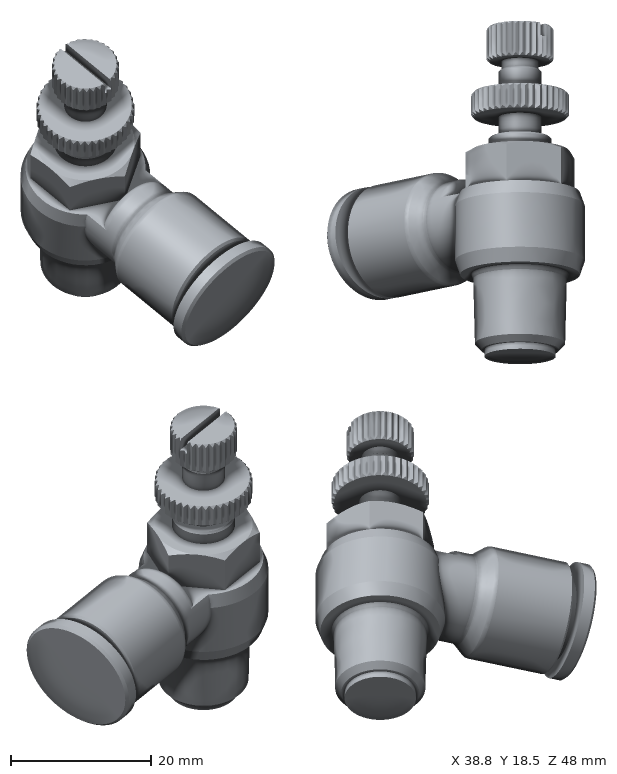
import cadquery as cq
import math


overall_length = 38.8

stub_radius = 5.1
stub_height = 0.95
thread_tip_radius = 6.45
thread_base_radius = 6.65
thread_chamfer_inset = 0.85
thread_start_z = 1.85
neck_start_z = 11.3
neck_top_radius = 6.95

body_diameter = 18.5
body_radius = body_diameter / 2
body_end_radius = 8.55
body_bottom_z = 11.95
body_top_z = 23.85
body_lower_chamfer = 2.0
body_upper_chamfer = 1.9

hex_across_flats = 14.0
hex_top_z = 29.9
hex_chamfer_angle = 30.0
collar_radius = 4.5
collar_top_z = 31.9
collar_chamfer = 0.3

stem_diameter = 6.1
stem_radius = stem_diameter / 2
stem_neck_radius = 2.65
stem_shoulder_z = 41.5
stem_shoulder_height = 0.35
nut_diameter = 13.95
nut_radius = nut_diameter / 2
nut_bottom_z = 34.9
nut_top_z = 38.45
nut_teeth = 40
nut_first_tooth_angle = 180 / nut_teeth
head_radius = 4.8
head_bottom_z = 43.0
head_top_z = 48.0
head_teeth = 30
head_first_tooth_angle = 90
tooth_depth = 0.45
tooth_chamfer = 0.4
slot_width = 1.2
slot_depth = 1.9

socket_axis_z = 20.85
branch_diameter = 13.0
branch_radius = branch_diameter / 2
branch_end_x = 8.85
branch_round = 1.5
sleeve_radius = 8.15
flare_start_x = 12.6
flare_end_x = 14.7
flare_inner_fillet = 0.8
flare_outer_fillet = 0.95
sleeve_end_x = 26.45
sleeve_chamfer = 0.35

ring_neck_radius = 5.85
ring_start_x = 27.55
ring_end_x = overall_length - body_radius
ring_half_width = body_radius
ring_half_height = 8.0
ring_chamfer = 0.4


def turned(points):
    """Solid of revolution about Z from (radius, height) points."""
    return cq.Workplane("XZ").polyline(points).close().revolve(360, (0, 0, 0), (0, 1, 0))


def disc_x(radius, start_x, end_x):
    """Cylinder on the socket axis."""
    plane = cq.Workplane("YZ", origin=(start_x, 0, socket_axis_z))
    return plane.circle(radius).extrude(end_x - start_x)


def rim_at(x):
    """Selector for the socket edges that lie at one X position."""
    margin = 0.05
    return cq.selectors.BoxSelector(
        (x - margin, -body_radius, 0), (x + margin, body_radius, head_top_z)
    )


def knurled_disc(tip_radius, bottom_z, top_z, teeth, first_tooth_angle):
    """Disc with straight V-shaped teeth, chamfered at both ends."""
    root_radius = tip_radius - tooth_depth
    chamfer_radius = tip_radius - tooth_chamfer
    pitch = 2 * math.pi / teeth
    outline = []
    for tooth in range(teeth):
        angle = math.radians(first_tooth_angle) + tooth * pitch
        for radius, offset in ((tip_radius, 0), (root_radius, pitch / 2)):
            outline.append((radius * math.cos(angle + offset), radius * math.sin(angle + offset)))
    toothed = cq.Workplane("XY", origin=(0, 0, bottom_z)).polyline(outline).close().extrude(top_z - bottom_z)
    envelope = turned([
        (0, bottom_z),
        (chamfer_radius, bottom_z),
        (tip_radius, bottom_z + tooth_chamfer),
        (tip_radius, top_z - tooth_chamfer),
        (chamfer_radius, top_z),
        (0, top_z),
    ])
    return toothed.intersect(envelope)


def make_spigot_and_body():
    """Stub, tapered thread and swivel body, turned in one piece."""
    return turned([
        (0, 0),
        (stub_radius, 0),
        (stub_radius, stub_height),
        (thread_tip_radius - thread_chamfer_inset, stub_height),
        (thread_tip_radius, thread_start_z),
        (thread_base_radius, neck_start_z),
        (neck_top_radius, body_bottom_z),
        (body_end_radius, body_bottom_z),
        (body_radius, body_bottom_z + body_lower_chamfer),
        (body_radius, body_top_z - body_upper_chamfer),
        (body_end_radius, body_top_z),
        (0, body_top_z),
    ])


def make_hexagon():
    """Hexagon with corners on the X axis and a conical top chamfer."""
    flat_radius = hex_across_flats / 2
    corner_radius = flat_radius / math.cos(math.pi / 6)
    corner_drop = (corner_radius - flat_radius) * math.tan(math.radians(hex_chamfer_angle))
    prism = (
        cq.Workplane("XY", origin=(0, 0, body_top_z))
        .polygon(6, 2 * corner_radius)
        .extrude(hex_top_z - body_top_z)
    )
    envelope = turned([
        (0, body_top_z),
        (corner_radius, body_top_z),
        (corner_radius, hex_top_z - corner_drop),
        (flat_radius, hex_top_z),
        (0, hex_top_z),
    ])
    return prism.intersect(envelope)


def make_collar_and_stem():
    """Collar on the hexagon and the screw stem up to the head."""
    return turned([
        (0, hex_top_z),
        (collar_radius, hex_top_z),
        (collar_radius, collar_top_z - collar_chamfer),
        (collar_radius - collar_chamfer, collar_top_z),
        (stem_radius, collar_top_z),
        (stem_radius, stem_shoulder_z),
        (stem_neck_radius, stem_shoulder_z + stem_shoulder_height),
        (stem_neck_radius, head_bottom_z),
        (0, head_bottom_z),
    ])


def make_head():
    """Knurled head with a tooth on the +Y side and a screwdriver slot along X."""
    head = knurled_disc(head_radius, head_bottom_z, head_top_z, head_teeth, head_first_tooth_angle)
    slot = cq.Workplane("XY", origin=(0, 0, head_top_z - slot_depth)).box(
        2 * head_radius, slot_width, slot_depth, centered=(True, True, False)
    )
    return head.cut(slot)


def make_socket():
    """Branch from the body axis, flaring out to the tube sleeve and cut level with the body top."""
    profile = [
        (0, 0),
        (0, branch_radius),
        (flare_start_x, branch_radius),
        (flare_end_x, sleeve_radius),
        (sleeve_end_x, sleeve_radius),
        (sleeve_end_x, 0),
    ]
    socket = (
        cq.Workplane("XZ", origin=(0, 0, socket_axis_z))
        .polyline(profile)
        .close()
        .revolve(360, (0, 0, 0), (1, 0, 0))
    )
    socket = socket.edges(rim_at(flare_start_x)).fillet(flare_inner_fillet)
    socket = socket.edges(rim_at(flare_end_x)).fillet(flare_outer_fillet)
    socket = socket.edges(rim_at(sleeve_end_x)).chamfer(sleeve_chamfer)

    rounded_end = disc_x(branch_radius, branch_end_x, sleeve_end_x).faces("<X").edges().fillet(branch_round)
    clearance = (
        cq.Workplane("XY", origin=(0, 0, body_top_z))
        .box(branch_end_x + branch_round, body_diameter, branch_radius, centered=(False, True, False))
        .cut(rounded_end)
    )
    return socket.cut(clearance)


def make_release_ring():
    """Elliptical ring, wider along Y than along Z, on a round neck."""
    ring = (
        cq.Workplane("YZ", origin=(ring_start_x, 0, socket_axis_z))
        .ellipse(ring_half_width, ring_half_height)
        .extrude(ring_end_x - ring_start_x)
        .faces(">X")
        .edges()
        .chamfer(ring_chamfer)
    )
    return ring.union(disc_x(ring_neck_radius, sleeve_end_x, ring_start_x))


result = (
    make_spigot_and_body()
    .union(make_hexagon())
    .union(make_collar_and_stem())
    .union(knurled_disc(nut_radius, nut_bottom_z, nut_top_z, nut_teeth, nut_first_tooth_angle))
    .union(make_head())
    .union(make_socket())
    .union(make_release_ring())
)